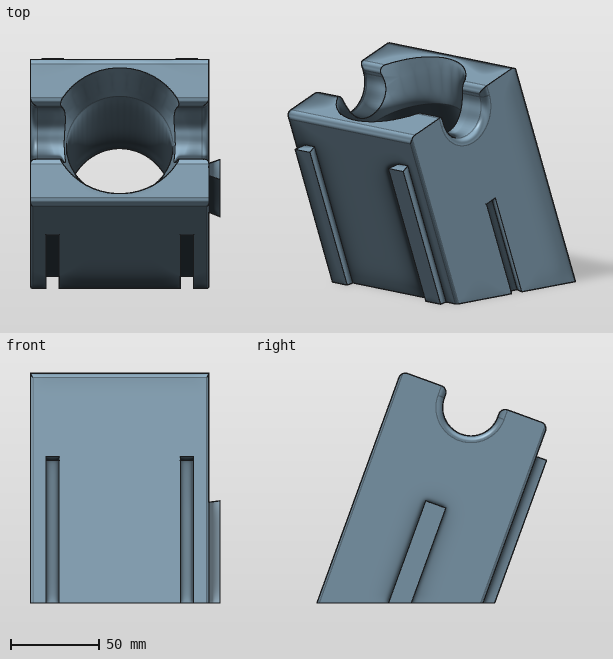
import cadquery as cq
import math

lean = 20.0
width = 100.9
depth = 88.3
height = 139.5
top_round = 3.9
corner_round = 1.3

mouth_radius = 37.8
bore_radius = 30.2
mouth_depth = 26.0

notch_radius = 16.0
notch_center_drop = 5.9
notch_round = 3.9

rail_neck = 7.4
rail_face = 12.1
rail_height = 6.2
side_rail_length = 75.4
long_rail_length = 88.2
long_rail_offset = 38.0

back_rise = depth * math.tan(math.radians(lean))
mid_depth = depth / 2
margin = 13.0
clearance = 1.3


def make_block():
    stock = cq.Workplane("XY").box(width, depth, height + margin, centered=(True, False, False))
    stock = stock.translate((0, 0, -margin))
    stock = stock.edges("|Z").fillet(corner_round)
    profile = (
        cq.Workplane("YZ")
        .rect(depth, 2 * height)
        .extrude(width / 2, both=True)
        .edges("|X and >Z")
        .fillet(top_round)
        .translate((0, mid_depth, 0))
    )
    return stock.intersect(profile)


def cut_notch(block):
    center_height = height - notch_center_drop
    notch = (
        cq.Workplane("YZ")
        .moveTo(-notch_radius, height)
        .lineTo(-notch_radius, center_height)
        .threePointArc((0, center_height - notch_radius), (notch_radius, center_height))
        .lineTo(notch_radius, height)
        .close()
        .extrude(width / 2, both=True)
        .translate((0, mid_depth, 0))
    )
    notched = block.cut(notch)
    reach = notch_radius + clearance
    around_notch = cq.selectors.BoxSelector(
        (-width, mid_depth - reach, center_height - reach),
        (width, mid_depth + reach, height + clearance),
    )
    top_edges = notched.edges("|X").edges(around_notch).edges(">Z")
    side_edges = notched.faces("<X or >X").edges(around_notch)
    return notched.newObject(top_edges.vals() + side_edges.vals()).fillet(notch_round)


def cut_bore(block):
    mouth_floor = height - mouth_depth
    bore = (
        cq.Workplane("XZ")
        .moveTo(0, -margin)
        .lineTo(bore_radius, -margin)
        .lineTo(bore_radius, mouth_floor)
        .lineTo(mouth_radius, height)
        .lineTo(0, height)
        .close()
        .revolve(360, (0, 0), (0, 1))
        .translate((0, mid_depth, 0))
    )
    return block.cut(bore)


def dovetail(length, start):
    """Dovetail bar widening toward +Y, its neck on the XZ plane."""
    return (
        cq.Workplane("XY")
        .polyline([
            (-rail_neck / 2, 0),
            (rail_neck / 2, 0),
            (rail_face / 2, rail_height),
            (-rail_face / 2, rail_height),
        ])
        .close()
        .extrude(length - start)
        .translate((0, 0, start))
    )


def add_dovetails(block):
    front_groove = dovetail(long_rail_length, -margin)
    back_rail = dovetail(long_rail_length + back_rise, -margin)
    for x in (-long_rail_offset, long_rail_offset):
        block = block.cut(front_groove.translate((x, 0, 0)))
        block = block.union(back_rail.translate((x, depth, 0)))
    side_bar = dovetail(side_rail_length, -margin).rotate((0, 0, 0), (0, 0, 1), -90)
    block = block.cut(side_bar.translate((-width / 2, mid_depth, 0)))
    return block.union(side_bar.translate((width / 2, mid_depth, 0)))


def lean_and_level(block):
    leaned = block.rotate((0, 0, 0), (1, 0, 0), -lean)
    ground = cq.Workplane("XY").box(
        4 * width, 4 * depth, height, centered=(True, True, False)
    ).translate((0, 0, -height))
    return leaned.cut(ground)


result = lean_and_level(add_dovetails(cut_bore(cut_notch(make_block()))))